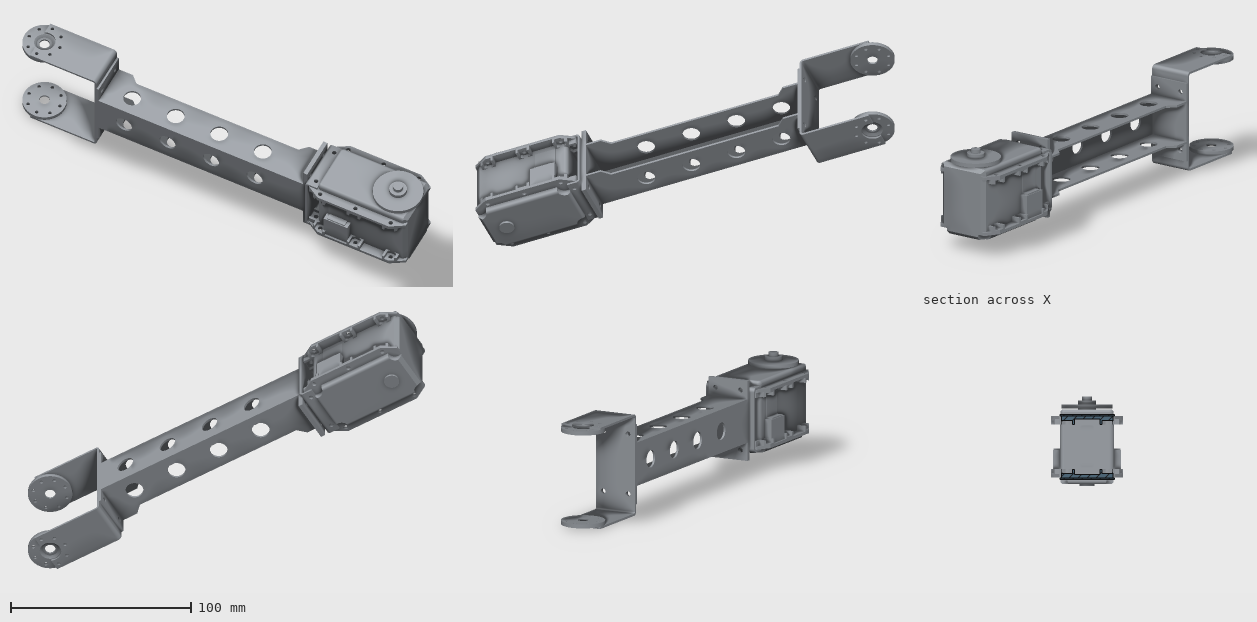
import cadquery as cq
import math


SHEET = 1.2
BEND = 2.2
LINK_WIDTH = 24.6

DISC_RADIUS = 12.3
DISC_THICKNESS = 2.2
DISC_BORE = 6.0
DISC_RECESS = 8.5
DISC_RECESS_DEPTH = 1.2
DISC_RECESS_MOUTH = 11.5
HORN_HOLE = 2.0
HORN_HOLE_COUNT = 8
HORN_CIRCLE_RADIUS = 9.5

FORK_HEIGHT = 57.5
FORK_TIP = 9.5
FORK_BACK = 51.0
FORK_BORE = 12.3

ARM_LENGTH = 129.8
ARM_HEIGHT = 24.6
END_PLATE_HEIGHT = 45.3
ARM_NOTCH_DEPTH = 4.5
ARM_NOTCH_MARGIN = 10.0
ARM_HOLE = 9.9
ARM_HOLE_FIRST = 17.0
ARM_HOLE_PITCH = 27.0
ARM_HOLE_COUNT = 4
JOINT_HOLE = 3.0
JOINT_SPACING_Y = 15.8
JOINT_SPACING_Z = 34.0

BRACKET_LENGTH = 7.6
BRACKET_WIDTH = 30.5
FRONT_HOLE_Y = 11.0
SCREW_HOLE = 2.5

CASE_LENGTH = 55.2
CASE_WIDTH = 29.5
CASE_HEIGHT = 41.5
CASE_CORNER = 2.2
CASE_RIM = 1.7
SCALLOP_RADIUS = 4.5
SCALLOP_SETBACK = 1.7
FLANGE_OUTER_Z = 17.0
FLANGE_THICKNESS = 1.7
FLANGE_WIDTH = 40.1
FLANGE_CORNER_X = 8.1
FLANGE_CORNER_Y = 5.0
FLANGE_FRONT_ROUND = 2.0
TAB_LENGTH = 5.5
BOSS_WIDTH = 8.1
BOSS_HEIGHT = 4.7
NUT_WIDTH = 5.5
NUT_DEPTH = 2.2
SIDE_HOLE_Y = 17.2
SIDE_HOLE_PITCH = 22.0

SHAFT_FROM_BACK = 12.5
SHAFT_STEPS = ((5.0, 0.5), (14.0, 2.2), (5.0, 2.2), (2.7, 2.2))
REAR_HUB_RADIUS = 4.2
REAR_HUB_HEIGHT = 1.2

CONNECTOR_START = 6.0
CONNECTOR_LENGTH = 14.8
CONNECTOR_TOP_Z = -1.7
CONNECTOR_REACH = 19.0
PLUG_INSET = 2.0
PLUG_SETBACK = 0.5
PLUG_RISE = 0.7
STRIP_INSET = 1.2
STRIP_RELIEF = 0.2

hinge_x = DISC_RADIUS
arm_start = FORK_BACK
arm_end = arm_start + ARM_LENGTH
bracket_start = arm_end + SHEET
case_start = bracket_start + BRACKET_LENGTH
case_end = case_start + CASE_LENGTH
tab_start = case_start - TAB_LENGTH
shaft_x = case_end - SHAFT_FROM_BACK
flange_inner_z = FLANGE_OUTER_Z - FLANGE_THICKNESS
boss_inner_z = FLANGE_OUTER_Z - BOSS_HEIGHT
bracket_height = 2 * (FLANGE_OUTER_Z + SHEET)
front_hole_x = tab_start + TAB_LENGTH / 2
side_hole_middle_x = (tab_start + case_end) / 2
side_hole_xs = [side_hole_middle_x + i * SIDE_HOLE_PITCH for i in (-1, 0, 1)]
leg_inner_z = FORK_HEIGHT / 2 - SHEET


def block(x0, x1, y0, y1, z0, z1):
    """Box between two opposite corners."""
    return cq.Workplane("XY").box(x1 - x0, y1 - y0, z1 - z0, centered=False).translate((x0, y0, z0))


def upright_cylinders(points, diameter, z0, z1):
    """Cylinders along Z at the given (x, y) points."""
    return cq.Workplane("XY", origin=(0, 0, z0)).pushPoints(points).circle(diameter / 2).extrude(z1 - z0)


def horn_hole_points():
    """Screw circle around the hinge axis."""
    angles = [2 * math.pi * i / HORN_HOLE_COUNT for i in range(HORN_HOLE_COUNT)]
    return [
        (hinge_x + HORN_CIRCLE_RADIUS * math.cos(a), HORN_CIRCLE_RADIUS * math.sin(a)) for a in angles
    ]


def joint_holes():
    """Cutters for the four screws through the fork web, arm ends and spacer."""
    return (
        cq.Workplane("YZ")
        .rect(JOINT_SPACING_Y, JOINT_SPACING_Z, forConstruction=True)
        .vertices()
        .circle(JOINT_HOLE / 2)
        .extrude(case_start)
    )


def bent_channel(length, width, height, back_x, direction):
    """U of sheet metal; legs run along `direction` (+1 or -1 in X) from a web at back_x."""
    legs_end = back_x + direction * length
    inner_x = back_x + direction * SHEET
    solid = block(min(back_x, legs_end), max(back_x, legs_end), -width / 2, width / 2, -height / 2, height / 2)
    web_side = "<X" if direction > 0 else ">X"
    solid = solid.faces(web_side).edges("|Y").fillet(BEND)
    inside_z = height / 2 - SHEET
    cavity = block(min(inner_x, legs_end), max(inner_x, legs_end), -width / 2, width / 2, -inside_z, inside_z)
    cavity = cavity.faces(web_side).edges("|Y").fillet(BEND - SHEET)
    return solid.cut(cavity)


def make_fork():
    """Hinge fork opening towards -X."""
    fork = bent_channel(FORK_BACK - FORK_TIP, LINK_WIDTH, FORK_HEIGHT, FORK_BACK, -1)
    half = FORK_HEIGHT / 2
    fork = fork.cut(upright_cylinders([(hinge_x, 0)], FORK_BORE, -half, half))
    fork = fork.cut(upright_cylinders(horn_hole_points(), HORN_HOLE, -half, half))
    return fork.cut(joint_holes())


def make_horn_disc(side):
    """Disc on the inside of the upper (side = 1) or lower (side = -1) fork leg."""
    inner_z = leg_inner_z - DISC_THICKNESS
    recess_z = leg_inner_z - DISC_RECESS_DEPTH
    disc = upright_cylinders([(hinge_x, 0)], 2 * DISC_RADIUS, inner_z, leg_inner_z)
    disc = disc.cut(upright_cylinders([(hinge_x, 0)], DISC_BORE, inner_z, leg_inner_z))
    disc = disc.cut(upright_cylinders(horn_hole_points(), HORN_HOLE, inner_z, leg_inner_z))
    recess = (
        cq.Workplane("XY", origin=(hinge_x, 0, recess_z))
        .circle(DISC_RECESS / 2)
        .workplane(offset=DISC_RECESS_DEPTH)
        .circle(DISC_RECESS_MOUTH / 2)
        .loft()
    )
    disc = disc.cut(recess)
    return disc if side > 0 else disc.mirror("XY")


def end_plate(x0):
    """Plain plate across the arm, starting at x0."""
    half_y = LINK_WIDTH / 2
    half_z = END_PLATE_HEIGHT / 2
    return block(x0, x0 + SHEET, -half_y, half_y, -half_z, half_z)


def make_arm():
    """Channel open towards +Y with notched flanges, lightening holes and end plates."""
    half_y = LINK_WIDTH / 2
    half_z = ARM_HEIGHT / 2
    notch_y = half_y - ARM_NOTCH_DEPTH
    notch_x0 = arm_start + ARM_NOTCH_MARGIN
    notch_x1 = arm_end - ARM_NOTCH_MARGIN
    outline = [
        (arm_start, -half_y),
        (arm_end, -half_y),
        (arm_end, half_y),
        (notch_x1, half_y),
        (notch_x1 - ARM_NOTCH_DEPTH, notch_y),
        (notch_x0 + ARM_NOTCH_DEPTH, notch_y),
        (notch_x0, half_y),
        (arm_start, half_y),
    ]
    arm = cq.Workplane("XY", origin=(0, 0, -half_z)).polyline(outline).close().extrude(ARM_HEIGHT)
    arm = arm.cut(block(arm_start, arm_end, SHEET - half_y, half_y, SHEET - half_z, half_z - SHEET))

    hole_xs = [arm_start + ARM_HOLE_FIRST + i * ARM_HOLE_PITCH for i in range(ARM_HOLE_COUNT)]
    flange_hole_y = (notch_y - half_y) / 2
    flange_holes = upright_cylinders([(x, flange_hole_y) for x in hole_xs], ARM_HOLE, -half_z, half_z)
    wall_holes = (
        cq.Workplane("XZ", origin=(0, half_y, 0))
        .pushPoints([(x, 0) for x in hole_xs])
        .circle(ARM_HOLE / 2)
        .extrude(LINK_WIDTH)
    )
    arm = arm.cut(flange_holes).cut(wall_holes)
    arm = arm.union(end_plate(arm_start)).union(end_plate(arm_end - SHEET))
    return arm.cut(joint_holes())


def make_spacer():
    """Plate between the arm and the servo bracket."""
    return end_plate(arm_end).cut(joint_holes())


def front_hole_points():
    """Screws that hold the servo's front tabs in the bracket."""
    return [(front_hole_x, side * FRONT_HOLE_Y) for side in (-1, 1)]


def make_bracket():
    """U bracket that grips the servo's front tabs."""
    bracket = bent_channel(BRACKET_LENGTH, BRACKET_WIDTH, bracket_height, bracket_start, 1)
    half_z = bracket_height / 2
    return bracket.cut(upright_cylinders(front_hole_points(), SCREW_HOLE, -half_z, half_z))


def nut_pocket(x, y, turn):
    """Half-hexagon nut slot that opens towards -Y, turned about the hole by `turn` degrees."""
    half = NUT_WIDTH / 2
    shoulder = half / math.sqrt(3)
    outline = [(-half, -NUT_WIDTH), (half, -NUT_WIDTH), (half, shoulder), (0, 2 * shoulder), (-half, shoulder)]
    pocket = cq.Workplane("XY").polyline(outline).close().extrude(NUT_DEPTH)
    return pocket.rotate((0, 0, 0), (0, 0, 1), turn).translate((x, y, boss_inner_z))


def flange_prism(z0, z1):
    """Flange outline with its four corners cut off, between two heights."""
    half = FLANGE_WIDTH / 2
    prism = block(tab_start, case_end, -half, half, z0, z1)
    corner_y = half - FLANGE_CORNER_Y
    for x, inward in ((tab_start, 1), (case_end, -1)):
        for side in (-1, 1):
            corner = [(x, side * corner_y), (x, side * half), (x + inward * FLANGE_CORNER_X, side * half)]
            prism = prism.cut(cq.Workplane("XY", origin=(0, 0, z0)).polyline(corner).close().extrude(z1 - z0))
    return prism.faces("<X").edges("|Z").fillet(FLANGE_FRONT_ROUND)


def make_upper_flange():
    """Mounting flange around the case with a nut boss under each screw hole."""
    half_boss = BOSS_WIDTH / 2
    full_height = flange_prism(boss_inner_z, FLANGE_OUTER_Z)
    boss_pads = cq.Workplane("XY")
    pockets = []
    for side in (-1, 1):
        for x in side_hole_xs:
            pad = block(x - half_boss, x + half_boss, 0, FLANGE_WIDTH, boss_inner_z, FLANGE_OUTER_Z)
            boss_pads = boss_pads.union(pad if side > 0 else pad.mirror("XZ"))
            pockets.append(nut_pocket(x, side * SIDE_HOLE_Y, 0 if side < 0 else 180))
        y = side * FRONT_HOLE_Y
        pad_end = case_start + CASE_CORNER
        pad = block(tab_start, pad_end, y - half_boss, y + half_boss, boss_inner_z, FLANGE_OUTER_Z)
        boss_pads = boss_pads.union(pad)
        pockets.append(nut_pocket(front_hole_x, y, -90))
    flange = flange_prism(flange_inner_z, FLANGE_OUTER_Z).union(full_height.intersect(boss_pads))
    for pocket in pockets:
        flange = flange.cut(pocket)
    points = front_hole_points() + [(x, side * SIDE_HOLE_Y) for x in side_hole_xs for side in (-1, 1)]
    return flange.cut(upright_cylinders(points, SCREW_HOLE, boss_inner_z, FLANGE_OUTER_Z))


def make_connector():
    """Connector housing, its plug and the strip above it on the -Y wall of the case."""
    wall_y = -CASE_WIDTH / 2
    x0 = case_start + CONNECTOR_START
    x1 = x0 + CONNECTOR_LENGTH
    housing = block(x0, x1, -CONNECTOR_REACH, wall_y, -flange_inner_z, CONNECTOR_TOP_Z)
    plug = block(
        x0 + PLUG_INSET,
        x1 - PLUG_INSET,
        PLUG_SETBACK - CONNECTOR_REACH,
        wall_y,
        CONNECTOR_TOP_Z,
        CONNECTOR_TOP_Z + PLUG_RISE,
    )
    strip = block(
        x0 + STRIP_INSET, x1 - STRIP_INSET, wall_y - STRIP_RELIEF, wall_y, CONNECTOR_TOP_Z, boss_inner_z
    )
    return housing.union(plug).union(strip)


def make_case():
    """Case with rounded front and rims, chamfered back and scalloped bottom corners."""
    half_y = CASE_WIDTH / 2
    half_z = CASE_HEIGHT / 2
    case = block(case_start, case_end, -half_y, half_y, -half_z, half_z)
    case = case.faces(">X").chamfer(CASE_CORNER)
    case = case.faces("<X").edges("|Z").fillet(CASE_CORNER)
    case = case.faces("<Z or >Z").edges("not(>X)").fillet(CASE_RIM)
    scallop_xs = (case_start + SCALLOP_SETBACK, case_end - SCALLOP_SETBACK)
    corners = [(x, side * half_y) for x in scallop_xs for side in (-1, 1)]
    return case.cut(upright_cylinders(corners, 2 * SCALLOP_RADIUS, -half_z, -FLANGE_OUTER_Z))


def make_servo():
    """Servo case with flanges, connectors, output horn and rear hub in one solid."""
    half_z = CASE_HEIGHT / 2
    upper_flange = make_upper_flange()
    connector = make_connector()
    servo = make_case().union(upper_flange).union(upper_flange.mirror("XY"))
    servo = servo.union(connector).union(connector.mirror("XZ"))

    z = half_z
    for radius, height in SHAFT_STEPS:
        servo = servo.union(upright_cylinders([(shaft_x, 0)], 2 * radius, z, z + height))
        z += height
    return servo.union(
        upright_cylinders([(shaft_x, 0)], 2 * REAR_HUB_RADIUS, -half_z - REAR_HUB_HEIGHT, -half_z)
    )


fork = make_fork()
horn_discs = [make_horn_disc(side) for side in (1, -1)]
arm = make_arm()
spacer = make_spacer()
bracket = make_bracket()
servo = make_servo()

result = cq.Compound.makeCompound(
    [
        fork.val(),
        *[disc.val() for disc in horn_discs],
        arm.val(),
        spacer.val(),
        bracket.val(),
        servo.val(),
    ]
)